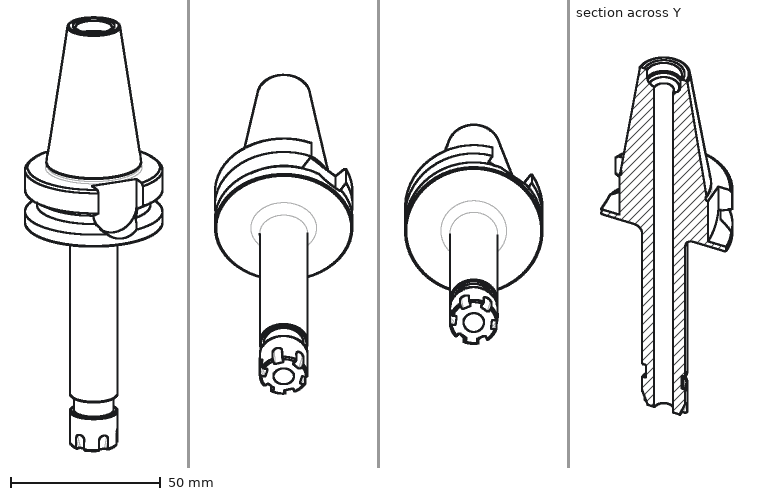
import cadquery as cq
import math

total_length = 148.4
nut_top = 12.0
shank_bottom = 17.4
flange_bottom = 78.0
flange_top = 98.1
taper_bottom = 100.0

nut_radius = 8.0
neck_radius = 6.7
shank_radius = 8.0
shank_fillet = 3.0
flange_radius = 23.0
groove_radius = 19.0
taper_large_radius = 15.9
taper_per_length = 7 / 24
taper_small_radius = taper_large_radius - (total_length - taper_bottom) * taper_per_length / 2

relief_radius = 15.6
relief_fillet = 0.6
relief_chamfer = 0.5

lower_rim_top = 82.5
upper_rim_bottom = 90.1
groove_flank_height = (flange_radius - groove_radius) * math.tan(math.radians(30))

flange_top_chamfer = 0.9
small_chamfer = 0.5
nut_face_chamfer = 0.6

drive_slot_count = 2
drive_slot_width = 16.3
drive_slot_floor = 16.3
drive_slot_bottom = 80.5

mouth_radius = 7.0
mouth_depth = 0.5
pilot_radius = 6.1
pilot_depth = 4.0
recess_radius = 6.0
recess_depth = 4.7
throat_radius = 5.2
throat_depth = 6.0
through_radius = 3.4
through_start_depth = 7.1

wrench_slot_count = 6
wrench_slot_width = 3.3
wrench_slot_height = 6.1
wrench_slot_depth = 2.1
wrench_slot_floor_tilt = 20
wrench_slot_floor_fillet = 0.5

cut_clearance = 1.5


def turned_body():
    """Nut, neck, shank, grooved flange and taper as one revolved profile."""
    fillet_top_radius = shank_radius + shank_fillet
    fillet_mid_offset = shank_fillet * (1 - math.sqrt(0.5))
    relief_mid_offset = relief_fillet * (1 - math.sqrt(0.5))
    profile = (
        cq.Workplane("XZ")
        .moveTo(0, 0)
        .lineTo(nut_radius - nut_face_chamfer, 0)
        .lineTo(nut_radius, nut_face_chamfer)
        .lineTo(nut_radius, nut_top - small_chamfer)
        .lineTo(nut_radius - small_chamfer, nut_top)
        .lineTo(neck_radius, nut_top)
        .lineTo(neck_radius, shank_bottom)
        .lineTo(shank_radius - small_chamfer, shank_bottom)
        .lineTo(shank_radius, shank_bottom + small_chamfer)
        .lineTo(shank_radius, flange_bottom - shank_fillet)
        .threePointArc(
            (shank_radius + fillet_mid_offset, flange_bottom - fillet_mid_offset),
            (fillet_top_radius, flange_bottom),
        )
        .lineTo(flange_radius - small_chamfer, flange_bottom)
        .lineTo(flange_radius, flange_bottom + small_chamfer)
        .lineTo(flange_radius, lower_rim_top)
        .lineTo(groove_radius, lower_rim_top + groove_flank_height)
        .lineTo(groove_radius, upper_rim_bottom - groove_flank_height)
        .lineTo(flange_radius, upper_rim_bottom)
        .lineTo(flange_radius, flange_top - flange_top_chamfer)
        .lineTo(flange_radius - flange_top_chamfer, flange_top)
        .lineTo(relief_radius + relief_fillet, flange_top)
        .threePointArc(
            (relief_radius + relief_mid_offset, flange_top + relief_mid_offset),
            (relief_radius, flange_top + relief_fillet),
        )
        .lineTo(relief_radius, taper_bottom - relief_chamfer)
        .lineTo(taper_large_radius, taper_bottom)
        .lineTo(taper_small_radius, total_length - small_chamfer)
        .lineTo(taper_small_radius - small_chamfer, total_length)
        .lineTo(0, total_length)
        .close()
    )
    return profile.revolve(360, (0, 0, 0), (0, 1, 0))


def stepped_bore():
    """Chamfered pilot bore, recess, two cones and through hole, entered from the small taper end."""
    return (
        cq.Workplane("XZ")
        .moveTo(0, 0)
        .lineTo(through_radius, 0)
        .lineTo(through_radius, total_length - through_start_depth)
        .lineTo(throat_radius, total_length - throat_depth)
        .lineTo(recess_radius, total_length - recess_depth)
        .lineTo(recess_radius, total_length - pilot_depth)
        .lineTo(pilot_radius, total_length - pilot_depth)
        .lineTo(pilot_radius, total_length - mouth_depth)
        .lineTo(mouth_radius, total_length)
        .lineTo(0, total_length)
        .close()
        .revolve(360, (0, 0, 0), (0, 1, 0))
    )


def slot_cutter(floor_plane, width, open_end, round_end, reach):
    """Slot with one rounded end, drawn on its floor plane and extruded outward.

    Both ends are heights along the plane's local Y.
    """
    half_width = width / 2
    arc_start = round_end - math.copysign(half_width, round_end - open_end)
    return (
        cq.Workplane(floor_plane)
        .moveTo(-half_width, open_end)
        .lineTo(-half_width, arc_start)
        .threePointArc((0, round_end), (half_width, arc_start))
        .lineTo(half_width, open_end)
        .close()
        .extrude(reach)
    )


def cut_around_axis(body, cutter, count):
    """Remove `count` evenly spaced copies of a cutter around the Z axis."""
    for index in range(count):
        body = body.cut(cutter.rotate((0, 0, 0), (0, 0, 1), index * 360 / count))
    return body


def drive_slot():
    """Upward-opening flange slot on the +X side with an upright flat floor."""
    floor = cq.Plane(origin=(drive_slot_floor, 0, 0), xDir=(0, 1, 0), normal=(1, 0, 0))
    reach = flange_radius - drive_slot_floor + cut_clearance
    return slot_cutter(
        floor, drive_slot_width, flange_top + cut_clearance, drive_slot_bottom, reach
    )


def wrench_slot():
    """Downward-opening nut slot on the +X side, its floor leaning outward toward the top."""
    tilt = math.radians(wrench_slot_floor_tilt)
    floor = cq.Plane(
        origin=(nut_radius - wrench_slot_depth, 0, 0),
        xDir=(0, 1, 0),
        normal=(math.cos(tilt), 0, -math.sin(tilt)),
    )
    reach = wrench_slot_depth + cut_clearance
    cutter = slot_cutter(floor, wrench_slot_width, -cut_clearance, wrench_slot_height, reach)
    return cutter.faces("<X").edges().fillet(wrench_slot_floor_fillet)


result = turned_body().cut(stepped_bore())
result = cut_around_axis(result, drive_slot(), drive_slot_count)
result = cut_around_axis(result, wrench_slot(), wrench_slot_count)